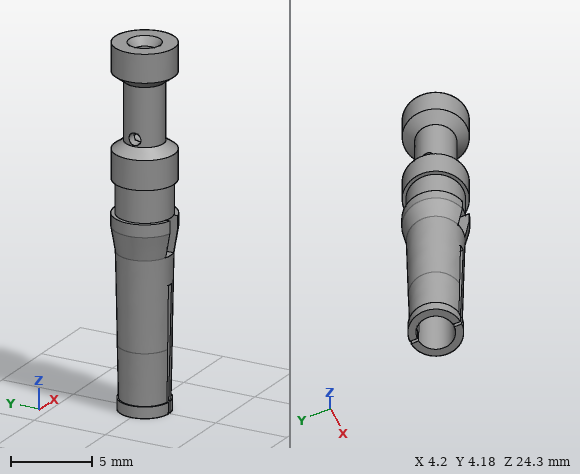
import cadquery as cq

TOTAL_HEIGHT = 24.25
HEAD_BOTTOM = 22.33
NECK_TOP = 21.75
NECK_BOTTOM = 17.78
SHOULDER_TOP = 17.22
SHOULDER_BOTTOM = 15.23
COLLAR_TOP = 12.97
COLLAR_BOTTOM = 12.12
FLARE_BOTTOM = 10.48
SLOT_TOP = 8.54
TAPER_BREAK = 4.3
TIP_RING_TOP = 0.78

HEAD_DIAMETER = 4.15
HEAD_RADIUS = HEAD_DIAMETER / 2
NECK_RADIUS = 1.3
CORE_RADIUS = 1.85
COLLAR_DIAMETER = 4.2
COLLAR_RADIUS = COLLAR_DIAMETER / 2
FLARE_BASE_RADIUS = 1.82
TAPER_BREAK_RADIUS = 1.7
TIP_NECK_RADIUS = 1.62
TIP_RING_RADIUS = 1.72

BORE_RADIUS = 0.73
BORE_MOUTH_RADIUS = 1.1
COUNTERSINK_DEPTH = 0.55
BORE_BOTTOM = 17.95
BORE_POINT_DEPTH = 0.41
INSPECTION_RADIUS = 0.41
INSPECTION_HEIGHT = 18.25

SPIGOT_RADIUS = 1.38
SOCKET_RADIUS = 1.21

SLOT_TOP_WIDTH = 0.4
SLOT_TIP_WIDTH = 0.2
WINDOW_WIDTH = 1.0


def turned(profile):
    """Revolve a closed (radius, height) outline about the Z axis."""
    return cq.Workplane("XZ").polyline(profile).close().revolve(360, (0, 0), (0, 1))


def wire_bore():
    return turned([
        (0, TOTAL_HEIGHT),
        (BORE_MOUTH_RADIUS, TOTAL_HEIGHT),
        (BORE_RADIUS, TOTAL_HEIGHT - COUNTERSINK_DEPTH),
        (BORE_RADIUS, BORE_BOTTOM),
        (0, BORE_BOTTOM - BORE_POINT_DEPTH),
    ])


def inspection_hole():
    """Radial hole from the -X side of the neck into the wire bore."""
    return (
        cq.Workplane("YZ")
        .center(0, INSPECTION_HEIGHT)
        .circle(INSPECTION_RADIUS)
        .extrude(-HEAD_RADIUS)
    )


def make_contact():
    """Turned crimp contact whose spigot fills the upper part of the sleeve."""
    blank = turned([
        (0, TOTAL_HEIGHT),
        (HEAD_RADIUS, TOTAL_HEIGHT),
        (HEAD_RADIUS, HEAD_BOTTOM),
        (NECK_RADIUS, NECK_TOP),
        (NECK_RADIUS, NECK_BOTTOM),
        (HEAD_RADIUS, SHOULDER_TOP),
        (HEAD_RADIUS, SHOULDER_BOTTOM),
        (CORE_RADIUS, SHOULDER_BOTTOM),
        (CORE_RADIUS, COLLAR_TOP),
        (SPIGOT_RADIUS, COLLAR_TOP),
        (SPIGOT_RADIUS, FLARE_BOTTOM),
        (0, FLARE_BOTTOM),
    ])
    return blank.cut(wire_bore()).cut(inspection_hole())


def finger_slot():
    """Slot along Y through both walls, narrowing towards the finger tips."""
    return (
        cq.Workplane("XZ")
        .polyline([
            (-SLOT_TIP_WIDTH / 2, 0),
            (SLOT_TIP_WIDTH / 2, 0),
            (SLOT_TOP_WIDTH / 2, SLOT_TOP),
            (-SLOT_TOP_WIDTH / 2, SLOT_TOP),
        ])
        .close()
        .extrude(COLLAR_RADIUS, both=True)
    )


def collar_window():
    """Notch in the -Y side of the collar, open at the top."""
    notch = cq.Workplane("XY").box(
        WINDOW_WIDTH, COLLAR_RADIUS, COLLAR_TOP - FLARE_BOTTOM, centered=(True, False, False)
    )
    return notch.translate((0, -COLLAR_RADIUS, FLARE_BOTTOM))


def make_sleeve():
    """Spring sleeve with two fingers below a flared collar."""
    blank = turned([
        (SPIGOT_RADIUS, COLLAR_TOP),
        (COLLAR_RADIUS, COLLAR_TOP),
        (COLLAR_RADIUS, COLLAR_BOTTOM),
        (FLARE_BASE_RADIUS, FLARE_BOTTOM),
        (TAPER_BREAK_RADIUS, TAPER_BREAK),
        (TIP_NECK_RADIUS, TIP_RING_TOP),
        (TIP_RING_RADIUS, TIP_RING_TOP),
        (TIP_RING_RADIUS, 0),
        (SOCKET_RADIUS, 0),
        (SOCKET_RADIUS, FLARE_BOTTOM),
        (SPIGOT_RADIUS, FLARE_BOTTOM),
    ])
    return blank.cut(finger_slot()).cut(collar_window())


contact = make_contact()
sleeve = make_sleeve()

result = cq.Compound.makeCompound([contact.val(), sleeve.val()])